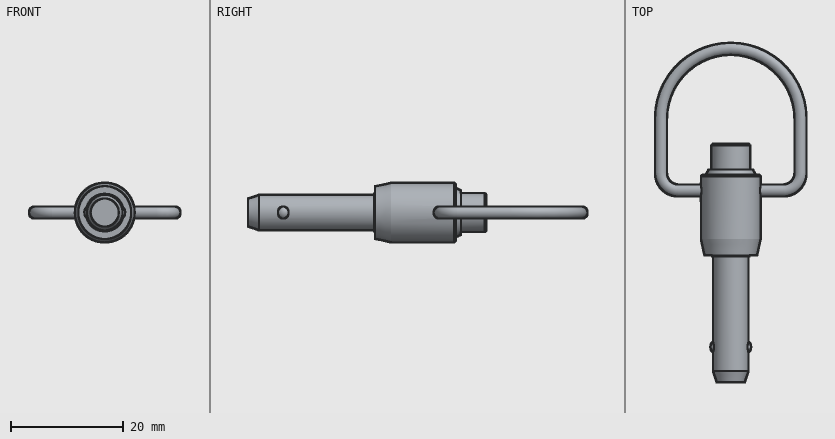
import cadquery as cq


shank_diameter = 6.35
shank_length = 22.6
tip_diameter = 5.0
tip_taper_length = 2.0
base_collar_diameter = 6.7
base_collar_height = 0.2

body_diameter = 10.67
body_straight_length = 11.15
nose_diameter = 9.4
nose_length = 2.9
body_rim_chamfer = 0.35

neck_lower_diameter = 8.8
neck_upper_diameter = 7.9
neck_height = 0.9

button_diameter = 7.0
button_height = 4.55
button_chamfer = 0.35

ball_diameter = 2.4
ball_tip_span = 7.3
ball_from_tip = 6.3

overall_length = 60.43
ring_width = 27.0
wire_diameter = 2.2
ring_length = 27.4
corner_outer_radius = 4.2

tip_y = -shank_length
body_top_y = nose_length + body_straight_length + body_rim_chamfer
neck_top_y = body_top_y + neck_height
button_top_y = neck_top_y + button_height
ring_top_y = overall_length - shank_length


def make_pin():
    """Revolve the half profile of shank, body, neck and button about Y."""
    body_rim_radius = body_diameter / 2 - body_rim_chamfer
    button_rim_radius = button_diameter / 2 - button_chamfer
    profile = [
        (0, tip_y),
        (tip_diameter / 2, tip_y),
        (shank_diameter / 2, tip_y + tip_taper_length),
        (shank_diameter / 2, -base_collar_height),
        (base_collar_diameter / 2, -base_collar_height),
        (base_collar_diameter / 2, 0),
        (nose_diameter / 2, 0),
        (body_diameter / 2, nose_length),
        (body_diameter / 2, body_top_y - body_rim_chamfer),
        (body_rim_radius, body_top_y),
        (neck_lower_diameter / 2, body_top_y),
        (neck_upper_diameter / 2, neck_top_y),
        (button_diameter / 2, neck_top_y),
        (button_diameter / 2, button_top_y - button_chamfer),
        (button_rim_radius, button_top_y),
        (0, button_top_y),
    ]
    return cq.Workplane("XY").polyline(profile).close().revolve(360, (0, 0, 0), (0, 1, 0))


def make_ball(side):
    """Locking ball standing out of the shank on the given X side (+1 or -1)."""
    center_x = side * (ball_tip_span - ball_diameter) / 2
    return cq.Workplane("XY").sphere(ball_diameter / 2).translate((center_x, tip_y + ball_from_tip, 0))


def make_ring():
    """Sweep the round wire along a D-shaped loop whose ends meet inside the body."""
    wire_radius = wire_diameter / 2
    arch_radius = ring_width / 2 - wire_radius
    arch_center_y = ring_top_y - ring_width / 2
    foot_y = ring_top_y - ring_length + wire_radius
    corner_radius = corner_outer_radius - wire_radius
    corner_y = foot_y + corner_radius
    foot_end_x = arch_radius - corner_radius
    path = (
        cq.Workplane("XY")
        .moveTo(0, foot_y)
        .lineTo(-foot_end_x, foot_y)
        .radiusArc((-arch_radius, corner_y), corner_radius)
        .lineTo(-arch_radius, arch_center_y)
        .threePointArc((0, arch_center_y + arch_radius), (arch_radius, arch_center_y))
        .lineTo(arch_radius, corner_y)
        .radiusArc((foot_end_x, foot_y), corner_radius)
        .lineTo(0, foot_y)
    )
    return cq.Workplane("YZ", origin=(0, foot_y, 0)).circle(wire_radius).sweep(path)


result = make_pin().union(make_ring())
for side in (-1, 1):
    result = result.union(make_ball(side))